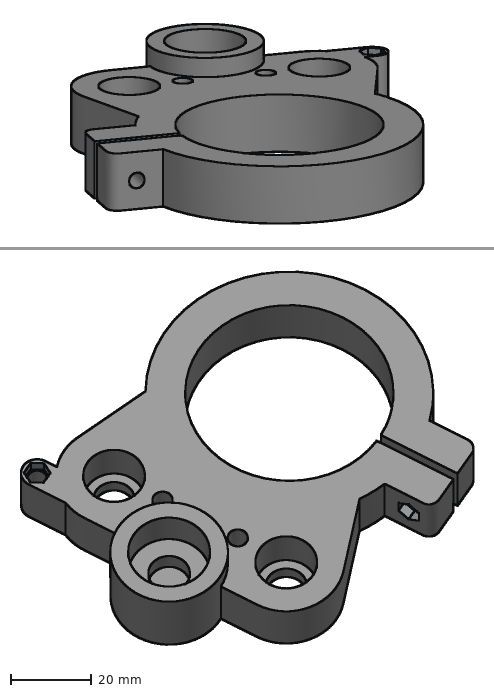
import cadquery as cq
import math

PLATE_THICKNESS = 15.0
RING_DIAMETER = 71.9
OVERALL_LENGTH = 109.3
RING_BORE = 52.0

SEAT_X = -43.5
SEAT_Y = 25.0
CORNER_RADIUS = 14.5
SEAT_DIAMETER = 15.4
SEAT_HOLE = 10.4
SEAT_DEPTH = 11.0
PIN_HOLE = 5.0
PIN_HOLE_Y = 10.9
NECK_ANGLE = 120

BOSS_DIAMETER = 29.4
BOSS_HEIGHT = 20.0
BOSS_X = RING_DIAMETER / 2 - OVERALL_LENGTH + BOSS_DIAMETER / 2
BOSS_BORE = 20.4
BOSS_BORE_DEPTH = 9.9
BOSS_RECESS_DIAMETER = 10.4
BOSS_RECESS_DEPTH = 5.0

ARM_WIDTH = 8.1
ARM_X = -52.6
ARM_HOLE_Y = 42.0
ARM_HOLE = 5.0
ARM_NUT_FLATS = 5.7
ARM_NUT_DEPTH = 3.0

LUG_END_Y = -48.3
LUG_HALF_WIDTH = 10.9
LUG_CORNER_RADIUS = 3.0
SLOT_WIDTH = 2.0
SCREW_Y = -41.2
SCREW_HOLE = 4.0
SCREW_NUT_FLATS = 5.9
SCREW_NUT_DEPTH = 3.0


def disc(x, y, diameter, bottom, top):
    """Vertical cylinder between two heights."""
    base = cq.Workplane("XY", origin=(x, y, bottom))
    return base.circle(diameter / 2).extrude(top - bottom)


def block(x_min, x_max, y_min, y_max):
    """Rectangular block of full plate thickness."""
    size_x = x_max - x_min
    size_y = y_max - y_min
    base = cq.Workplane("XY", origin=(x_min, y_min, 0))
    return base.rect(size_x, size_y, centered=False).extrude(PLATE_THICKNESS)


def hex_corners(flats):
    """Diameter across the corners of a hexagon."""
    return flats / math.cos(math.pi / 6)


def make_plate():
    """Plate with rounded left corners and flanks tangent to them, running to the ring."""
    neck_x = RING_DIAMETER / 2 * math.cos(math.radians(NECK_ANGLE))
    neck_y = RING_DIAMETER / 2 * math.sin(math.radians(NECK_ANGLE))
    neck_distance = math.hypot(neck_x - SEAT_X, neck_y - SEAT_Y)
    neck_direction = math.atan2(neck_y - SEAT_Y, neck_x - SEAT_X)
    tangent_angle = neck_direction + math.acos(CORNER_RADIUS / neck_distance)

    def corner_point(angle):
        return (SEAT_X + CORNER_RADIUS * math.cos(angle), SEAT_Y + CORNER_RADIUS * math.sin(angle))

    tangent_x, tangent_y = corner_point(tangent_angle)
    middle_x, middle_y = corner_point((tangent_angle + math.pi) / 2)
    left_x = SEAT_X - CORNER_RADIUS
    return (
        cq.Workplane("XY")
        .moveTo(neck_x, neck_y)
        .lineTo(tangent_x, tangent_y)
        .threePointArc((middle_x, middle_y), (left_x, SEAT_Y))
        .lineTo(left_x, -SEAT_Y)
        .threePointArc((middle_x, -middle_y), (tangent_x, -tangent_y))
        .lineTo(neck_x, -neck_y)
        .close()
        .extrude(PLATE_THICKNESS)
    )


def make_arm():
    arm = block(ARM_X - ARM_WIDTH / 2, ARM_X + ARM_WIDTH / 2, SEAT_Y, ARM_HOLE_Y)
    return arm.union(disc(ARM_X, ARM_HOLE_Y, ARM_WIDTH, 0, PLATE_THICKNESS))


def make_lugs():
    lugs = block(-LUG_HALF_WIDTH, LUG_HALF_WIDTH, LUG_END_Y, -RING_BORE / 2)
    return lugs.edges("|Z and <Y").fillet(LUG_CORNER_RADIUS)


def cut_ring(body):
    """Open the ring bore and split it between the lugs."""
    body = body.cut(disc(0, 0, RING_BORE, 0, PLATE_THICKNESS))
    return body.cut(block(-SLOT_WIDTH / 2, SLOT_WIDTH / 2, LUG_END_Y, 0))


def cut_seats(body):
    """Counterbored bearing seats and the pin holes between them."""
    for side in (-1, 1):
        y = side * SEAT_Y
        body = body.cut(disc(SEAT_X, y, SEAT_HOLE, 0, PLATE_THICKNESS))
        body = body.cut(disc(SEAT_X, y, SEAT_DIAMETER, PLATE_THICKNESS - SEAT_DEPTH, PLATE_THICKNESS))
        body = body.cut(disc(SEAT_X, side * PIN_HOLE_Y, PIN_HOLE, 0, PLATE_THICKNESS))
    return body


def add_boss(body):
    """Boss with a blind bore and a smaller recess in its floor."""
    floor_z = BOSS_HEIGHT - BOSS_BORE_DEPTH
    body = body.union(disc(BOSS_X, 0, BOSS_DIAMETER, 0, BOSS_HEIGHT))
    body = body.cut(disc(BOSS_X, 0, BOSS_BORE, floor_z, BOSS_HEIGHT))
    return body.cut(disc(BOSS_X, 0, BOSS_RECESS_DIAMETER, floor_z - BOSS_RECESS_DEPTH, floor_z))


def cut_arm_hole(body):
    """Through hole with a hexagonal nut pocket in the top of the arm."""
    body = body.cut(disc(ARM_X, ARM_HOLE_Y, ARM_HOLE, 0, PLATE_THICKNESS))
    pocket = cq.Workplane("XY", origin=(ARM_X, ARM_HOLE_Y, PLATE_THICKNESS - ARM_NUT_DEPTH))
    return body.cut(pocket.polygon(6, hex_corners(ARM_NUT_FLATS)).extrude(ARM_NUT_DEPTH))


def cut_clamp_screw(body):
    """Cross hole through both lugs with a nut pocket in the left one."""
    outer_face = cq.Workplane("YZ", origin=(-LUG_HALF_WIDTH, SCREW_Y, PLATE_THICKNESS / 2))
    hole = outer_face.circle(SCREW_HOLE / 2).extrude(2 * LUG_HALF_WIDTH)
    pocket = outer_face.transformed(rotate=(0, 0, 90)).polygon(6, hex_corners(SCREW_NUT_FLATS))
    return body.cut(hole).cut(pocket.extrude(SCREW_NUT_DEPTH))


result = disc(0, 0, RING_DIAMETER, 0, PLATE_THICKNESS)
result = result.union(make_plate()).union(make_arm()).union(make_lugs())
result = cut_ring(result)
result = cut_seats(result)
result = add_boss(result)
result = cut_arm_hole(result)
result = cut_clamp_screw(result)